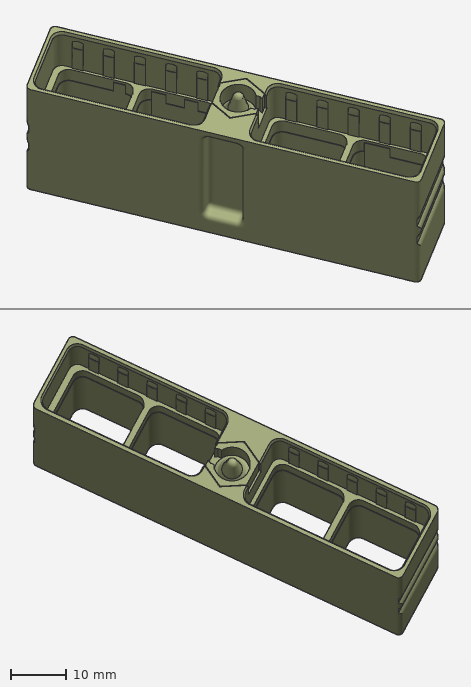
import cadquery as cq
import math

LENGTH = 74.9
WIDTH = 15.7
HEIGHT = 28.0
EDGE_RADIUS = 1.0

GROOVE_DEPTH = 0.5
GROOVE_FLAT = 1.9
GROOVE_MID_Z = 14.15
BUMP_HALF = 1.5
RAMP_LENGTH = 1.6

RECESS_WIDTH = 9.3
RECESS_HEIGHT = 24.35
RECESS_TOP_GAP = 0.75
RECESS_DEPTH = 3.0
RECESS_ROUND = 1.0
RECESS_CORNER = 1.2
RECESS_DRAFT = 4.0

CAVITY_X = 20.5
CAVITY_LENGTH = 32.5
CAVITY_WIDTH = 14.2
CAVITY_RADIUS = 2.2
CAVITY_DEPTH = 9.0
CAVITY_DRAFT = 1.0
LIP_INSET = 0.3
LIP_HEIGHT = 0.6

FLOOR_X = 20.3

WINDOW_LENGTH = 14.15
WINDOW_WIDTH = 12.1
WINDOW_RADIUS = 1.95
WINDOW_RIB = 1.2
WINDOW_Y = 0.1
WINDOW_STEP = 0.11
WINDOW_STEP_DEPTH = 3.15

RELIEF_SPANS = [(-25.2, -22.9), (-18.0, -15.2), (-11.7, -9.1), (22.5, 27.3)]
RELIEF_DEPTH = 0.11
RELIEF_TOP_DEPTH = 0.75

RIB_COUNT = 5
RIB_PITCH = 5.9
RIB_WIDTH = 2.1
RIB_FACE_Y = 6.5
CAP_DEPTH = 3.2
CAP_HEIGHT = 1.8
CAP_PROTRUSION = 0.41

POST_Y = 1.5
HEX_FLATS = 8.4
HEX_GAP = 0.11
HEX_DEPTH = 4.0
INSERT_BORE_RADIUS = 3.3
SLOT_INNER_WIDTH = 3.15
SLOT_OUTER_WIDTH = 2.4
SLOT_TAPER_X = 3.6

TIP_HEIGHT = 1.2
TIP_SHOULDER_Z = 0.6
TIP_SHOULDER_RADIUS = 1.0
TIP_CREST_RADIUS = 0.6
TIP_CREST_Z = 1.05
CONE_RADIUS = 1.9
CONE_DEPTH = 2.55
FLARE_RADIUS = 2.55
FLARE_DEPTH = 3.45
SPIGOT_RADIUS = 2.55
SPIGOT_END_RADIUS = 2.25
SPIGOT_LENGTH = 3.0
SPIGOT_CHAMFER = 0.2
SPIGOT_TOTAL = 6.4

LEDGE_Z = HEIGHT - CAVITY_DEPTH
WALL_Y = CAVITY_WIDTH / 2 - LIP_INSET


def rounded_prism(length, width, radius, height, base_z):
    """Upright block with rounded vertical edges, centred on X and Y."""
    prism = cq.Workplane("XY").workplane(offset=base_z).rect(length, width).extrude(height)
    return prism.edges("|Z").fillet(radius)


def tangent_arc_rise(length, depth):
    """Drop at half length of an arc that starts level and falls by depth over length."""
    radius = (length**2 + depth**2) / (2 * depth)
    return radius - math.sqrt(radius**2 - (length / 2) ** 2)


def end_groove_cutter():
    """Double groove for the -X end: two flats with a round bump between them."""
    face_x = -LENGTH / 2
    floor_x = face_x + GROOVE_DEPTH
    flat_end = BUMP_HALF + GROOVE_FLAT
    ramp_end = flat_end + RAMP_LENGTH
    ramp_mid_x = face_x + tangent_arc_rise(RAMP_LENGTH, GROOVE_DEPTH)
    ramp_mid = flat_end + RAMP_LENGTH / 2
    profile = (
        cq.Workplane("XZ", origin=(0, WIDTH / 2, GROOVE_MID_Z))
        .moveTo(face_x, -ramp_end)
        .threePointArc((ramp_mid_x, -ramp_mid), (floor_x, -flat_end))
        .lineTo(floor_x, -BUMP_HALF)
        .threePointArc((face_x, 0), (floor_x, BUMP_HALF))
        .lineTo(floor_x, flat_end)
        .threePointArc((ramp_mid_x, ramp_mid), (face_x, ramp_end))
        .lineTo(face_x - GROOVE_DEPTH, ramp_end)
        .lineTo(face_x - GROOVE_DEPTH, -ramp_end)
        .close()
    )
    return profile.extrude(WIDTH)


def make_block():
    """Rounded block with the grooves in both end faces."""
    block = rounded_prism(LENGTH, WIDTH, EDGE_RADIUS, HEIGHT, 0)
    groove = end_groove_cutter()
    return block.cut(groove).cut(groove.mirror("YZ"))


def cut_finger_recess(body):
    """Drafted pocket with a rounded rim and a rounded floor edge."""
    rim_reach = RECESS_ROUND / 2
    wall_width = RECESS_WIDTH - 2 * RECESS_ROUND
    wall_height = RECESS_HEIGHT - 2 * RECESS_ROUND
    mid_z = HEIGHT - RECESS_TOP_GAP - RECESS_HEIGHT / 2
    front_y = -WIDTH / 2
    outline = cq.Sketch().rect(wall_width, wall_height).vertices().fillet(RECESS_CORNER)
    pocket = (
        cq.Workplane("XZ", origin=(0, front_y, mid_z))
        .placeSketch(outline)
        .extrude(-RECESS_DEPTH, taper=RECESS_DRAFT)
        .faces(">Y").edges().fillet(RECESS_ROUND)
    )
    body = body.cut(pocket)
    rim = cq.selectors.BoxSelector(
        (-RECESS_WIDTH / 2, front_y - rim_reach, mid_z - RECESS_HEIGHT / 2),
        (RECESS_WIDTH / 2, front_y + rim_reach, mid_z + RECESS_HEIGHT / 2),
    )
    return body.edges(rim).fillet(RECESS_ROUND)


def drafted_pocket(length, width, radius, depth, draft):
    """Rounded pocket sunk from the top face, narrowing downwards by the draft angle."""
    outline = cq.Sketch().rect(length, width).vertices().fillet(radius)
    return cq.Workplane("XY", origin=(0, 0, HEIGHT)).placeSketch(outline).extrude(-depth, taper=draft)


def cavity_cutter():
    """Drafted cavity with a sloped lip, centred on X and Y."""
    lip_slope = math.degrees(math.atan(LIP_INSET / LIP_HEIGHT))
    lip = drafted_pocket(CAVITY_LENGTH, CAVITY_WIDTH, CAVITY_RADIUS, LIP_HEIGHT, lip_slope)
    wall_length = CAVITY_LENGTH - 2 * LIP_INSET
    wall_radius = CAVITY_RADIUS - LIP_INSET
    well = drafted_pocket(wall_length, 2 * WALL_Y, wall_radius, CAVITY_DEPTH, CAVITY_DRAFT)
    return well.union(lip)


def window_cutter():
    """Floor window, slightly larger below the step."""
    grown = 2 * WINDOW_STEP
    upper = rounded_prism(WINDOW_LENGTH, WINDOW_WIDTH, WINDOW_RADIUS, HEIGHT, 0)
    lower = rounded_prism(
        WINDOW_LENGTH + grown,
        WINDOW_WIDTH + grown,
        WINDOW_RADIUS + WINDOW_STEP,
        LEDGE_Z - WINDOW_STEP_DEPTH,
        0,
    )
    return upper.union(lower)


def cut_cavities(body):
    """Both cavities, each with two windows through its floor."""
    cavity = cavity_cutter()
    window = window_cutter()
    window_offset = (WINDOW_LENGTH + WINDOW_RIB) / 2
    for side in (-1, 1):
        body = body.cut(cavity.translate((side * CAVITY_X, 0, 0)))
        for end in (-1, 1):
            window_x = side * FLOOR_X + end * window_offset
            body = body.cut(window.translate((window_x, WINDOW_Y, 0)))
    return body


def cut_reliefs(body):
    """Shallow reliefs rising from the bottom in the rear window walls."""
    wall_y = WINDOW_Y + WINDOW_WIDTH / 2
    height = LEDGE_Z - RELIEF_TOP_DEPTH
    for start, end in RELIEF_SPANS:
        relief = cq.Workplane("XY").box(end - start, 2 * RELIEF_DEPTH, height, centered=(False, True, False))
        body = body.cut(relief.translate((start, wall_y, 0)))
    return body


def guide_rib():
    """Flat rib with a domed cap on the +Y cavity wall, at X = 0."""
    cap_z = HEIGHT - CAP_DEPTH
    back_y = (WALL_Y + WIDTH / 2) / 2
    rib = cq.Workplane("XY").box(
        RIB_WIDTH, back_y - RIB_FACE_Y, cap_z - LEDGE_Z, centered=(True, False, False)
    )
    rib = rib.translate((0, RIB_FACE_Y, LEDGE_Z))
    dome_radius = (CAP_HEIGHT**2 + CAP_PROTRUSION**2) / (2 * CAP_PROTRUSION)
    dome_y = WALL_Y - CAP_PROTRUSION + dome_radius
    dome = cq.Workplane("XY").sphere(dome_radius).translate((0, dome_y, cap_z))
    cap_bounds = cq.Workplane("XY").box(RIB_WIDTH, WIDTH / 2, CAP_HEIGHT, centered=(True, False, False))
    cap = dome.intersect(cap_bounds.translate((0, back_y - WIDTH / 2, cap_z)))
    return rib.union(cap)


def add_guide_ribs(body):
    """A row of ribs along both long walls of each cavity."""
    rear_rib = guide_rib()
    front_rib = rear_rib.mirror("XZ")
    for side in (-1, 1):
        for index in range(RIB_COUNT):
            rib_x = side * FLOOR_X + (index - (RIB_COUNT - 1) / 2) * RIB_PITCH
            body = body.union(rear_rib.translate((rib_x, 0, 0)))
            body = body.union(front_rib.translate((rib_x, 0, 0)))
    return body


def hexagon(flats, depth):
    """Hexagonal prism below the top face, with corners along Y."""
    corners = flats / math.cos(math.pi / 6)
    return (
        cq.Workplane("XY", origin=(0, POST_Y, HEIGHT))
        .transformed(rotate=(0, 0, 90))
        .polygon(6, corners)
        .extrude(-depth)
    )


def cut_insert_pocket(body):
    """Hexagonal pocket whose side flats open into both cavities."""
    pocket = hexagon(HEX_FLATS + 2 * HEX_GAP, HEX_DEPTH)
    side_length = (HEX_FLATS + 2 * HEX_GAP) / math.sqrt(3)
    opening_length = 2 * CAVITY_X - CAVITY_LENGTH + 4 * LIP_INSET
    opening = (
        cq.Workplane("XY", origin=(0, POST_Y, HEIGHT))
        .rect(opening_length, side_length)
        .extrude(-HEX_DEPTH)
    )
    return body.cut(pocket).cut(opening)


def coding_insert():
    """Hexagonal ring with a slot on its +X side that narrows outwards."""
    ring = hexagon(HEX_FLATS, HEX_DEPTH)
    top = cq.Workplane("XY", origin=(0, POST_Y, HEIGHT))
    bore = top.circle(INSERT_BORE_RADIUS).extrude(-HEX_DEPTH)
    slot_start = math.sqrt(INSERT_BORE_RADIUS**2 - (SLOT_INNER_WIDTH / 2) ** 2)
    slot = (
        top.moveTo(slot_start, -SLOT_INNER_WIDTH / 2)
        .lineTo(SLOT_TAPER_X, -SLOT_INNER_WIDTH / 2)
        .lineTo(HEX_FLATS / 2, -SLOT_OUTER_WIDTH / 2)
        .lineTo(HEX_FLATS / 2, SLOT_OUTER_WIDTH / 2)
        .lineTo(SLOT_TAPER_X, SLOT_INNER_WIDTH / 2)
        .lineTo(slot_start, SLOT_INNER_WIDTH / 2)
        .close()
        .extrude(-HEX_DEPTH)
    )
    return ring.cut(bore).cut(slot)


def centre_post():
    """Turned post running through the block, its profile given as (radius, Z)."""
    profile = (
        cq.Workplane("XZ", origin=(0, POST_Y, 0))
        .moveTo(0, HEIGHT + TIP_HEIGHT)
        .threePointArc(
            (TIP_CREST_RADIUS, HEIGHT + TIP_CREST_Z),
            (TIP_SHOULDER_RADIUS, HEIGHT + TIP_SHOULDER_Z),
        )
        .lineTo(CONE_RADIUS, HEIGHT - CONE_DEPTH)
        .lineTo(FLARE_RADIUS, HEIGHT - FLARE_DEPTH)
        .lineTo(INSERT_BORE_RADIUS, HEIGHT - HEX_DEPTH)
        .lineTo(SPIGOT_RADIUS, HEIGHT - HEX_DEPTH)
        .lineTo(SPIGOT_RADIUS, -SPIGOT_LENGTH + SPIGOT_CHAMFER)
        .lineTo(SPIGOT_END_RADIUS, -SPIGOT_LENGTH)
        .lineTo(SPIGOT_END_RADIUS, -SPIGOT_TOTAL)
        .lineTo(0, -SPIGOT_TOTAL)
        .close()
    )
    return profile.revolve(360, (0, 0, 0), (0, 1, 0))


body = cut_finger_recess(make_block())
body = cut_cavities(body)
body = cut_reliefs(body)
body = add_guide_ribs(body)
body = cut_insert_pocket(body)
result = body.union(coding_insert()).union(centre_post())